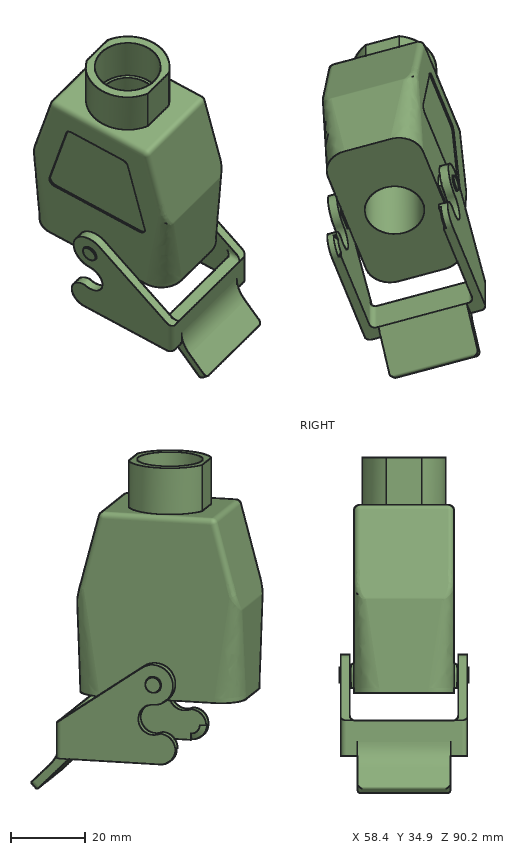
import cadquery as cq
import math

HOOD_LENGTH = 45.9
HOOD_WIDTH = 27.0
HOOD_HEIGHT = 50.6
SHOULDER_HEIGHT = 25.45
END_LEAN = 15.0
SKIRT_HEIGHT = 1.35
SKIRT_CORNER_RADIUS = 6.9
CORNER_TAPER = 0.15
TAPER_TOP = 36.1
EDGE_RADIUS = 1.6

NECK_DIAMETER = 22.6
NECK_ACROSS_FLATS = 20.5
NECK_HEIGHT = 12.7
NECK_BORE = 17.7
CABLE_BORE = 16.0

PANEL_CENTER_X = -0.3
PANEL_BOTTOM = 19.0
PANEL_HEIGHT = 24.55
PANEL_BOTTOM_LENGTH = 33.0
PANEL_CORNER_RADIUS = 1.8
PANEL_DEPTH = 0.45

PIVOT_Z = 4.9
PIN_DIAMETER = 4.15
PIN_SPAN = 34.9
BOSS_RADIUS = 3.2
BOSS_HEIGHT = 0.8
BOSS_DRAFT = 25.0

LEVER_WIDTH = 34.1
PLATE_THICKNESS = 2.5
PIVOT_EYE_RADIUS = 5.5
PIVOT_HOLE = 4.4
LEVER_END_X = 27.3
WEB_TOP = -7.3
WEB_THICKNESS = 3.5
LEVER_BOTTOM = -17.0
HOOK_X = -1.9
HOOK_RADIUS = 4.2
HOOK_LIP_RADIUS = 1.8
HOOK_BEVEL_DEPTH = 0.7
HOOK_BEVEL_REACH = 1.8
SLOT_RADIUS = 4.15
LEVER_CORNER_RADIUS = 1.5
WEB_TOP_RADIUS = 1.3

TAB_WIDTH = 25.0
TAB_END_X = 35.65
TAB_CORNER_RADIUS = 1.35
TAB_TIP_RADIUS = 0.6
TAB_BEND_RADIUS = 9.4

HOOK_Z = LEVER_BOTTOM + HOOK_RADIUS
LEAN_SLOPE = math.tan(math.radians(END_LEAN))


def corner_waste_profile(radius, height):
    """Area outside a round at the +X +Y corner of the hood."""
    x = HOOD_LENGTH / 2
    y = HOOD_WIDTH / 2
    reach = radius * math.sqrt(0.5)
    return (
        cq.Workplane("XY", origin=(0, 0, height))
        .moveTo(x, y)
        .lineTo(x, y - radius)
        .threePointArc((x - radius + reach, y - radius + reach), (x - radius, y))
        .close()
        .wire()
        .val()
    )


def corner_waste():
    """Cutter for one vertical corner: constant radius in the skirt, tapering above it."""
    top_radius = SKIRT_CORNER_RADIUS - CORNER_TAPER * (TAPER_TOP - SKIRT_HEIGHT)
    bottom = corner_waste_profile(SKIRT_CORNER_RADIUS, 0)
    middle = corner_waste_profile(SKIRT_CORNER_RADIUS, SKIRT_HEIGHT)
    top = corner_waste_profile(top_radius, TAPER_TOP)
    skirt = cq.Solid.makeLoft([bottom, middle], True)
    taper = cq.Solid.makeLoft([middle, top], True)
    return cq.Workplane(skirt).union(cq.Workplane(taper))


def hood_shell():
    """Block with leaning ends, tapering corner rounds and rounded upper edges."""
    top_length = HOOD_LENGTH - 2 * LEAN_SLOPE * (HOOD_HEIGHT - SHOULDER_HEIGHT)
    shell = (
        cq.Workplane("XZ")
        .moveTo(-HOOD_LENGTH / 2, 0)
        .lineTo(HOOD_LENGTH / 2, 0)
        .lineTo(HOOD_LENGTH / 2, SHOULDER_HEIGHT)
        .lineTo(top_length / 2, HOOD_HEIGHT)
        .lineTo(-top_length / 2, HOOD_HEIGHT)
        .lineTo(-HOOD_LENGTH / 2, SHOULDER_HEIGHT)
        .close()
        .extrude(HOOD_WIDTH / 2, both=True)
    )
    waste = corner_waste()
    for cutter in (waste, waste.mirror("YZ")):
        shell = shell.cut(cutter).cut(cutter.mirror("XZ"))
    upper_faces = shell.faces("%PLANE").filter(lambda face: face.normalAt().z > 0)
    return upper_faces.edges().fillet(EDGE_RADIUS)


def neck():
    """Round cable neck with a flat on each X side."""
    barrel = cq.Workplane("XY", origin=(0, 0, HOOD_HEIGHT)).circle(NECK_DIAMETER / 2).extrude(NECK_HEIGHT)
    flats = (
        cq.Workplane("XY", origin=(0, 0, HOOD_HEIGHT))
        .rect(NECK_ACROSS_FLATS, NECK_DIAMETER)
        .extrude(NECK_HEIGHT)
    )
    return barrel.intersect(flats)


def label_panel():
    """Cutter for the recessed trapezoid on the -Y face."""
    half_bottom = PANEL_BOTTOM_LENGTH / 2
    half_top = half_bottom - LEAN_SLOPE * PANEL_HEIGHT
    return (
        cq.Workplane("XZ", origin=(PANEL_CENTER_X, -HOOD_WIDTH / 2, PANEL_BOTTOM))
        .polyline([(-half_bottom, 0), (half_bottom, 0), (half_top, PANEL_HEIGHT), (-half_top, PANEL_HEIGHT)])
        .close()
        .extrude(-PANEL_DEPTH)
        .edges("|Y")
        .fillet(PANEL_CORNER_RADIUS)
    )


def pivot_pin():
    """Pin on the -Y side, standing on a drafted boss with a round top and a flat bottom."""
    face = cq.Workplane("XZ", origin=(0, -HOOD_WIDTH / 2, PIVOT_Z))
    boss = (
        face.moveTo(-BOSS_RADIUS, -PIVOT_Z)
        .lineTo(BOSS_RADIUS, -PIVOT_Z)
        .lineTo(BOSS_RADIUS, 0)
        .threePointArc((0, BOSS_RADIUS), (-BOSS_RADIUS, 0))
        .close()
        .extrude(BOSS_HEIGHT, taper=BOSS_DRAFT)
    )
    below_boss = (
        cq.Workplane("XY", origin=(0, -HOOD_WIDTH / 2, 0))
        .rect(2 * BOSS_RADIUS, 2 * BOSS_HEIGHT)
        .extrude(SKIRT_HEIGHT)
    )
    pin = face.circle(PIN_DIAMETER / 2).extrude((PIN_SPAN - HOOD_WIDTH) / 2)
    return boss.cut(below_boss).union(pin)


def make_hood():
    """Hood body: shell, neck, pins and label recess, bored through for the cable."""
    body = hood_shell().union(neck()).cut(label_panel())
    pin = pivot_pin()
    body = body.union(pin).union(pin.mirror("XZ"))
    cable_hole = cq.Workplane("XY").circle(CABLE_BORE / 2).extrude(HOOD_HEIGHT)
    neck_hole = cq.Workplane("XY", origin=(0, 0, HOOD_HEIGHT)).circle(NECK_BORE / 2).extrude(NECK_HEIGHT)
    return body.cut(cable_hole).cut(neck_hole)


def polar(center, radius, degrees):
    angle = math.radians(degrees)
    return (center[0] + radius * math.cos(angle), center[1] + radius * math.sin(angle))


def lever_side():
    """Full-width lever block: pivot eye, sloping top edge, straight bottom, hook and catch slot."""
    eye = (0, PIVOT_Z)
    hook = (HOOK_X, HOOK_Z)
    slot = (0, PIVOT_Z - PIVOT_EYE_RADIUS - SLOT_RADIUS)

    run = LEVER_END_X - eye[0]
    drop = eye[1] - WEB_TOP
    slope = math.atan2(drop, run) + math.asin(PIVOT_EYE_RADIUS / math.hypot(run, drop))
    tangent_angle = 90 - math.degrees(slope)

    center_gap = math.dist(hook, slot)
    line_angle = math.degrees(math.atan2(slot[1] - hook[1], slot[0] - hook[0]))
    cosine = (HOOK_RADIUS**2 + center_gap**2 - SLOT_RADIUS**2) / (2 * HOOK_RADIUS * center_gap)
    crossing = polar(hook, HOOK_RADIUS, line_angle + math.degrees(math.acos(cosine)))

    block = (
        cq.Workplane("XZ", origin=(0, LEVER_WIDTH / 2, 0))
        .moveTo(*polar(eye, PIVOT_EYE_RADIUS, tangent_angle))
        .lineTo(LEVER_END_X, WEB_TOP)
        .lineTo(LEVER_END_X, LEVER_BOTTOM)
        .lineTo(hook[0], LEVER_BOTTOM)
        .threePointArc(polar(hook, HOOK_RADIUS, 180), crossing)
        .threePointArc(polar(slot, SLOT_RADIUS, 0), polar(slot, SLOT_RADIUS, 90))
        .threePointArc(polar(eye, PIVOT_EYE_RADIUS, 180), polar(eye, PIVOT_EYE_RADIUS, tangent_angle))
        .close()
        .extrude(LEVER_WIDTH)
    )
    lip = cq.selectors.NearestToPointSelector((crossing[0], 0, crossing[1]))
    block = block.edges("|Y").edges(lip).fillet(HOOK_LIP_RADIUS)
    return block.edges("|Z and >X").fillet(LEVER_CORNER_RADIUS)


def hook_bevel():
    """Cutter for the lead-in bevel around the lower tip of the hook on the +Y plate."""
    inner_face = LEVER_WIDTH / 2 - PLATE_THICKNESS
    return (
        cq.Workplane("XY", origin=(HOOK_X, inner_face, HOOK_Z))
        .polyline([(-HOOK_RADIUS, 0), (HOOK_BEVEL_REACH - HOOK_RADIUS, 0), (-HOOK_RADIUS, HOOK_BEVEL_DEPTH)])
        .close()
        .revolve(90, (0, 0, 0), (0, -1, 0))
    )


def finger_tab():
    """Tab bent outward at 45 degrees from the foot of the web."""
    foot_x = LEVER_END_X - WEB_THICKNESS
    reach = TAB_END_X - LEVER_END_X
    end_offset = WEB_THICKNESS / 2
    tip = (TAB_END_X, LEVER_BOTTOM - reach)
    tab = (
        cq.Workplane("XZ", origin=(0, TAB_WIDTH / 2, 0))
        .moveTo(foot_x, WEB_TOP)
        .lineTo(LEVER_END_X, WEB_TOP)
        .lineTo(LEVER_END_X, LEVER_BOTTOM)
        .lineTo(*tip)
        .lineTo(tip[0] - end_offset, tip[1] - end_offset)
        .lineTo(foot_x, LEVER_BOTTOM)
        .close()
        .extrude(TAB_WIDTH)
    )
    bend = cq.selectors.NearestToPointSelector((LEVER_END_X, 0, LEVER_BOTTOM))
    tab = tab.edges("|Y").edges(bend).fillet(TAB_BEND_RADIUS)
    tab = tab.faces(">(1, 0, -1)").edges("|Y").fillet(TAB_TIP_RADIUS)

    length = reach * math.sqrt(2)
    tab_plane = cq.Plane(origin=(LEVER_END_X, 0, LEVER_BOTTOM), xDir=(1, 0, -1), normal=(1, 0, 1))
    outline = (
        cq.Workplane(tab_plane)
        .rect(2 * length, TAB_WIDTH)
        .extrude(2 * WEB_THICKNESS, both=True)
        .faces(">(1, 0, -1)")
        .edges("not |Y")
        .fillet(TAB_CORNER_RADIUS)
    )
    return tab.intersect(outline)


def make_lever():
    """Lever body: fork of two plates and a web, with the tab below it."""
    inner_width = LEVER_WIDTH - 2 * PLATE_THICKNESS
    web_inner_x = LEVER_END_X - WEB_THICKNESS
    clear_height = 2 * (PIVOT_EYE_RADIUS - LEVER_BOTTOM)

    between_plates = (
        cq.Workplane("XY")
        .box(2 * web_inner_x, inner_width, clear_height)
        .edges("|Z and >X")
        .fillet(LEVER_CORNER_RADIUS)
    )
    above_web = (
        cq.Workplane("YZ")
        .rect(inner_width, -2 * WEB_TOP)
        .extrude(LEVER_END_X)
        .edges("|X and <Z")
        .fillet(WEB_TOP_RADIUS)
    )
    pivot_holes = (
        cq.Workplane("XZ", origin=(0, LEVER_WIDTH / 2, PIVOT_Z))
        .circle(PIVOT_HOLE / 2)
        .extrude(LEVER_WIDTH)
    )
    lever = lever_side().cut(between_plates).cut(above_web).cut(pivot_holes)
    bevel = hook_bevel()
    return lever.cut(bevel).cut(bevel.mirror("XZ")).union(finger_tab())


hood = make_hood()
lever = make_lever()
result = cq.Compound.makeCompound([hood.solids().val(), lever.solids().val()])